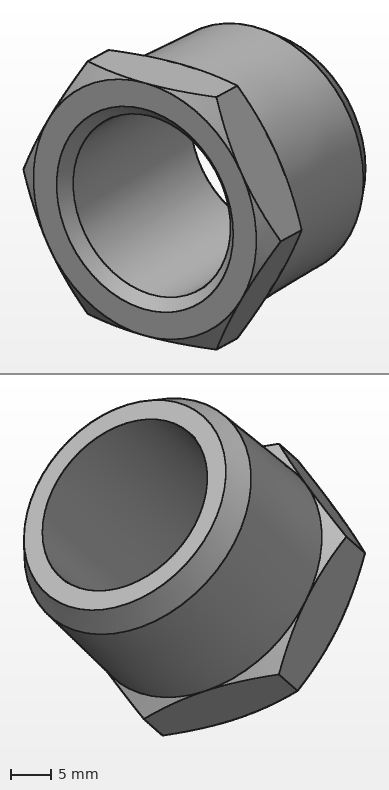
import cadquery as cq
import math

across_corners = 39.25
across_flats = across_corners * math.cos(math.radians(30))
head_length = 7.5
corner_chamfer_angle = 30.0

total_length = 26.5
body_root_diameter = across_flats
taper = 1 / 16
end_chamfer_length = 3.02
end_diameter = 29.35

bore_diameter = 24.0
mouth_diameter = 26.95
mouth_depth = (mouth_diameter - bore_diameter) / 2


def revolve_about_y(profile):
    """Turn a closed (radius, y) profile about the Y axis."""
    return cq.Workplane("XY").polyline(profile).close().revolve(360, (0, 0, 0), (0, 1, 0))


def make_head():
    """Hexagon from y = 0 to head_length, with conical chamfers on the corners of both faces."""
    hexagon = cq.Workplane("XZ").polygon(6, across_corners).extrude(-head_length)
    face_radius = across_flats / 2
    corner_radius = across_corners / 2
    chamfer_depth = (corner_radius - face_radius) * math.tan(math.radians(corner_chamfer_angle))
    chamfer_envelope = revolve_about_y([
        (0, 0),
        (face_radius, 0),
        (corner_radius, chamfer_depth),
        (corner_radius, head_length - chamfer_depth),
        (face_radius, head_length),
        (0, head_length),
    ])
    return hexagon.intersect(chamfer_envelope)


def make_body():
    """Tapered body from the back of the head, ending in a chamfer."""
    chamfer_start = total_length - end_chamfer_length
    root_radius = body_root_diameter / 2
    tip_radius = root_radius - (chamfer_start - head_length) * taper / 2
    return revolve_about_y([
        (0, head_length),
        (root_radius, head_length),
        (tip_radius, chamfer_start),
        (end_diameter / 2, total_length),
        (0, total_length),
    ])


def make_bore():
    """Through bore and its conical mouth."""
    return revolve_about_y([
        (0, 0),
        (mouth_diameter / 2, 0),
        (bore_diameter / 2, mouth_depth),
        (bore_diameter / 2, total_length),
        (0, total_length),
    ])


result = make_head().union(make_body()).cut(make_bore())